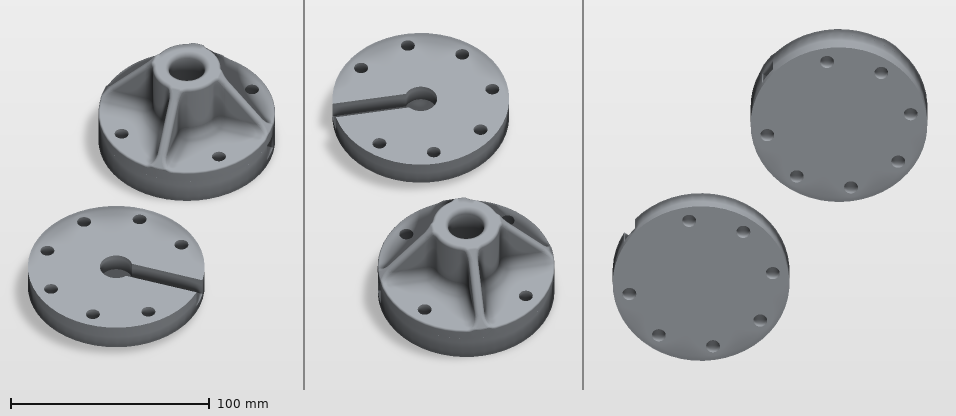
import cadquery as cq
import math

disc_diameter = 88.9
disc_radius = disc_diameter / 2
plate_thickness = 13.5
bolt_circle_radius = 36.5
bolt_hole_radius = 3.5
clearance = 10.3
tolerance = 0.2

recess_radius = 8.2
recess_depth = 9.5
slot_width = 9.2

flange_top = 19.7
housing_top = 51.5
boss_height = housing_top - flange_top
boss_radius = 17.0
bore_radius = 9.0
bore_mouth_round = 3.3
rib_width = 5.0
rib_foot_radius = disc_radius + 0.5
root_fillet = 5.0
edge_round = 2.0
rim_round = 1.0
blank_width = 2 * disc_diameter

loose_plate_x = 2.0
loose_plate_y = disc_diameter - 205.3
loose_plate_bottom = 4.0

rib_angles = [0, 90, 180, 270]
housing_hole_angles = [45, 135, 225, 315]
plate_hole_angles = range(45, 360, 45)


def cylinder(radius, bottom, top):
    return cq.Workplane("XY").workplane(offset=bottom).circle(radius).extrude(top - bottom)


def bolt_holes(angles):
    """Cutting pins on the bolt circle, longer than the part is tall."""
    centres = []
    for angle in angles:
        turn = math.radians(angle)
        centres.append((bolt_circle_radius * math.cos(turn), bolt_circle_radius * math.sin(turn)))
    start = cq.Workplane("XY").workplane(offset=-clearance)
    return start.pushPoints(centres).circle(bolt_hole_radius).extrude(housing_top + 2 * clearance)


def boss_with_ribs():
    """Boss and crossed ribs at full height, with the corners between them filleted."""
    ground = cq.Workplane("XY").workplane(offset=flange_top)
    along_x = ground.rect(blank_width, rib_width).extrude(boss_height)
    along_y = ground.rect(rib_width, blank_width).extrude(boss_height)
    boss = ground.circle(boss_radius).extrude(boss_height).union(along_x).union(along_y)
    around_boss = cq.selectors.BoxSelector(
        (-boss_radius, -boss_radius, flange_top),
        (boss_radius, boss_radius, housing_top),
    )
    return boss.edges("|Z").edges(around_boss).fillet(root_fillet)


def housing_blank():
    """Square flange blended into the full-height boss and ribs."""
    flange = cq.Workplane("XY").workplane(offset=plate_thickness).rect(blank_width, blank_width)
    blank = flange.extrude(flange_top - plate_thickness).union(boss_with_ribs())
    inside = blank_width / 2 - tolerance
    root_edges = cq.selectors.BoxSelector(
        (-inside, -inside, flange_top - tolerance),
        (inside, inside, flange_top + tolerance),
    )
    return blank.edges(root_edges).fillet(root_fillet)


def slope_cutter():
    """Everything above the slope from the boss top to the foot of the +X rib."""
    run_per_rise = (rib_foot_radius - boss_radius) / boss_height
    top = housing_top + clearance
    return (
        cq.Workplane("XZ")
        .moveTo(boss_radius - clearance * run_per_rise, top)
        .lineTo(rib_foot_radius + (flange_top - plate_thickness) * run_per_rise, plate_thickness)
        .lineTo(blank_width, plate_thickness)
        .lineTo(blank_width, top)
        .close()
        .extrude(blank_width, both=True)
    )


def round_upper_edges(housing):
    """Round the boss top and the borders of the four rib slopes in one fillet."""
    edges = housing.faces("|Z").faces(">Z").edges().vals()
    for face in housing.faces("%PLANE").vals():
        is_slope = tolerance < face.normalAt().z < 2 - tolerance
        if is_slope:
            for edge in face.Edges():
                if flange_top - tolerance < edge.BoundingBox().zmax < housing_top - tolerance:
                    edges.append(edge)
    return housing.newObject(edges).fillet(edge_round)


def round_circles(housing, radius, height, rounding):
    """Round the circular edges of one radius that lie at one height."""
    edges = []
    for edge in housing.edges("%CIRCLE").vals():
        box = edge.BoundingBox()
        at_height = height - tolerance < box.zmin and box.zmax < height + tolerance
        if at_height and abs(edge.radius() - radius) < tolerance:
            edges.append(edge)
    return housing.newObject(edges).fillet(rounding)


def make_housing():
    housing = housing_blank()
    for angle in rib_angles:
        housing = housing.cut(slope_cutter().rotate((0, 0, 0), (0, 0, 1), angle))
    housing = round_upper_edges(housing)

    housing = housing.intersect(cylinder(disc_radius, plate_thickness, housing_top))
    housing = round_circles(housing, disc_radius, flange_top, rim_round)

    housing = housing.cut(cylinder(bore_radius, plate_thickness, housing_top))
    housing = round_circles(housing, bore_radius, housing_top, bore_mouth_round)
    return housing.cut(bolt_holes(housing_hole_angles))


def make_plate():
    """Round plate with a blind keyhole recess, open toward +X, in its upper face."""
    recess_floor = plate_thickness - recess_depth
    recess = cylinder(recess_radius, recess_floor, plate_thickness)
    slot = (
        cq.Workplane("XY")
        .workplane(offset=recess_floor)
        .center(disc_radius / 2, 0)
        .rect(disc_radius, slot_width)
        .extrude(recess_depth)
    )
    plate = cylinder(disc_radius, 0, plate_thickness)
    return plate.cut(recess).cut(slot).cut(bolt_holes(plate_hole_angles))


housing = make_housing()

plate_places = [(0, 0, 0), (loose_plate_x, loose_plate_y, loose_plate_bottom)]
plates = []
for place in plate_places:
    plates.append(make_plate().translate(place).val())

result = cq.Compound.makeCompound([housing.val(), *plates])